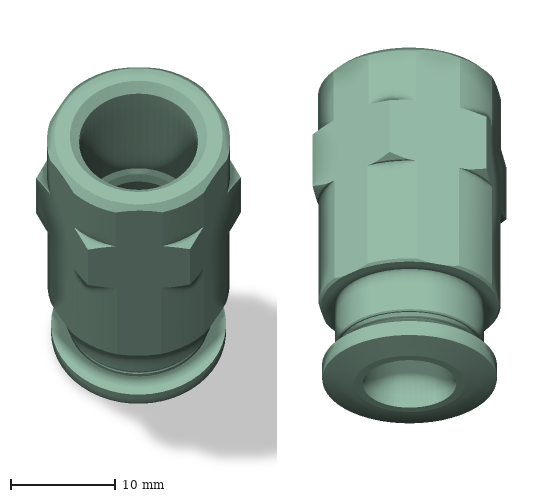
import cadquery as cq
import math

hex_across_flats = 17.0
hex_corner_radius = hex_across_flats / math.sqrt(3)
height = 32.7
body_bottom = 8.6
body_bottom_chamfer = 0.23
lower_body_radius = 8.75
upper_body_radius = 8.8
top_chamfer = 0.72

collar_bottom = 19.72
collar_top = 26.45
collar_lower_radius = 9.03
collar_lower_bevel_angle = math.radians(30)
collar_upper_bevel_angle = math.radians(27)
collar_lower_bevel_height = (hex_corner_radius - collar_lower_radius) * math.tan(collar_lower_bevel_angle)
collar_upper_bevel_height = (hex_corner_radius - upper_body_radius) * math.tan(collar_upper_bevel_angle)

sleeve_radius = 14.3 / 2
sleeve_bottom = 4.0
sleeve_chamfer = 0.13
ring_radius = 13.7 / 2
ring_bottom = 2.9
ring_groove_center = 3.43
ring_groove_depth = 0.13

neck_radius = 11.45 / 2
neck_flare_height = 0.25
neck_flare_width = 0.15
flange_radius = 16.8 / 2
flange_top = 2.05
flange_bottom = 0.52
flange_edge_chamfer_height = 0.23
flange_edge_chamfer_width = 0.03
button_face_radius = 5.33

socket_radius = 11.4 / 2
socket_depth = 13.08
socket_mouth_chamfer = 0.88
throat_radius = 10.0 / 2
bore_radius = 9.0 / 2
throat_taper_depth = throat_radius - bore_radius


def make_body():
    """Revolved body and collar, trimmed to the hexagon's flats."""
    profile = (
        cq.Workplane("XZ")
        .moveTo(0, body_bottom)
        .lineTo(lower_body_radius - body_bottom_chamfer, body_bottom)
        .lineTo(lower_body_radius, body_bottom + body_bottom_chamfer)
        .lineTo(lower_body_radius, collar_bottom)
        .lineTo(collar_lower_radius, collar_bottom)
        .lineTo(hex_corner_radius, collar_bottom + collar_lower_bevel_height)
        .lineTo(hex_corner_radius, collar_top - collar_upper_bevel_height)
        .lineTo(upper_body_radius, collar_top)
        .lineTo(upper_body_radius, height - top_chamfer)
        .lineTo(upper_body_radius - top_chamfer, height)
        .lineTo(0, height)
        .close()
    )
    blank = profile.revolve(360, (0, 0), (0, 1))
    hexagon = cq.Workplane("XY").polygon(6, 2 * hex_corner_radius).extrude(height)
    return blank.intersect(hexagon)


def make_lower_end():
    """Release button, neck, grooved ring and sleeve, turned as one piece."""
    profile = (
        cq.Workplane("XZ")
        .moveTo(0, 0)
        .lineTo(button_face_radius, 0)
        .lineTo(flange_radius - flange_edge_chamfer_width, flange_bottom)
        .lineTo(flange_radius, flange_bottom + flange_edge_chamfer_height)
        .lineTo(flange_radius, flange_top)
        .lineTo(neck_radius + neck_flare_width, flange_top)
        .lineTo(neck_radius, flange_top + neck_flare_height)
        .lineTo(neck_radius, ring_bottom)
        .lineTo(ring_radius, ring_bottom)
        .lineTo(ring_radius, ring_groove_center - ring_groove_depth)
        .lineTo(ring_radius - ring_groove_depth, ring_groove_center)
        .lineTo(ring_radius, ring_groove_center + ring_groove_depth)
        .lineTo(ring_radius, sleeve_bottom)
        .lineTo(sleeve_radius - sleeve_chamfer, sleeve_bottom)
        .lineTo(sleeve_radius, sleeve_bottom + sleeve_chamfer)
        .lineTo(sleeve_radius, body_bottom)
        .lineTo(0, body_bottom)
        .close()
    )
    return profile.revolve(360, (0, 0), (0, 1))


def make_bore():
    """Chamfered upper socket that tapers into the narrower through-bore."""
    socket_floor = height - socket_depth
    profile = (
        cq.Workplane("XZ")
        .moveTo(0, 0)
        .lineTo(bore_radius, 0)
        .lineTo(bore_radius, socket_floor - throat_taper_depth)
        .lineTo(throat_radius, socket_floor)
        .lineTo(socket_radius, socket_floor)
        .lineTo(socket_radius, height - socket_mouth_chamfer)
        .lineTo(socket_radius + socket_mouth_chamfer, height)
        .lineTo(0, height)
        .close()
    )
    return profile.revolve(360, (0, 0), (0, 1))


result = make_body().union(make_lower_end()).cut(make_bore())